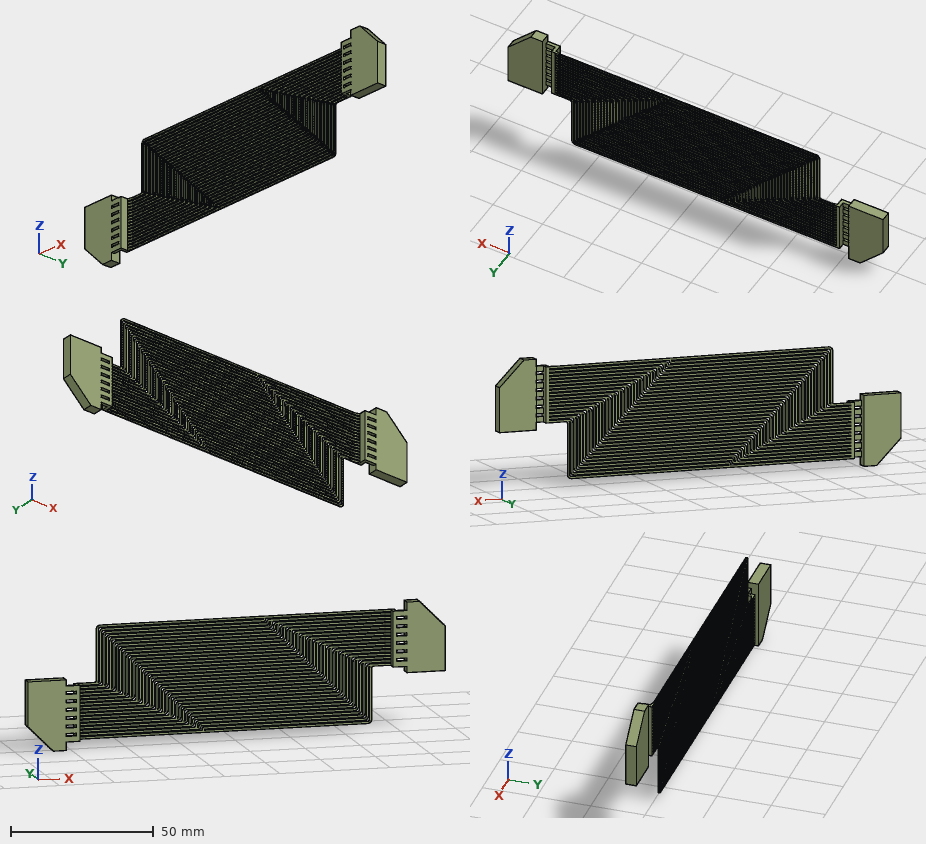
import cadquery as cq

length = 151.5
depth = 4.0
height = 46.5

block_length = 14.0
block_height = 25.3
block_corner_cut = 9.2

arm_length = 3.6
bracket_thickness = 1.4
slot_count = 6

ribbon_height = 40.5
ribbon_half_width = 50.0
ribbon_thickness = 0.5
track_width = 0.8
tracks_per_lead = 2
lead_count = 17
bend_radius = 0.7
tight_bend_radius = 0.2

taper_length = 2.0
taper_root_thickness = 1.0

track_count = tracks_per_lead * lead_count
pitch = (ribbon_height - track_width) / (track_count - 1)
back = depth / 2
front = -depth / 2
lead_bottom = -ribbon_height / 2
lead_height = (lead_count - 1) * pitch + track_width
lead_top = lead_bottom + lead_height
block_left = -length / 2
block_right = block_left + block_length
riser_left = block_right + arm_length
riser_right = riser_left + bracket_thickness


def make_block():
    """Left block, a plate with its outer lower corner cut off."""
    bottom = -height / 2
    top = bottom + block_height
    outline = [
        (block_left, top),
        (block_right, top),
        (block_right, bottom),
        (block_left + block_corner_cut, bottom),
        (block_left, bottom + block_corner_cut),
    ]
    return cq.Workplane("XZ", origin=(0, back, 0)).polyline(outline).close().extrude(depth)


def make_bracket():
    """L-shaped bracket: an arm along the front cut into fingers, then a riser to the back."""
    arm_back = front + bracket_thickness
    profile = [
        (block_right, front),
        (riser_right, front),
        (riser_right, back),
        (riser_left, back),
        (riser_left, arm_back),
        (block_right, arm_back),
    ]
    bracket = cq.Workplane("XY", origin=(0, 0, lead_bottom)).polyline(profile).close().extrude(lead_height)

    slot_height = lead_height / (3 * slot_count + 2)
    for slot in range(slot_count):
        slot_bottom = lead_bottom + (3 * slot + 2) * slot_height
        cutter = cq.Workplane("XY").box(arm_length, bracket_thickness, slot_height, centered=False)
        bracket = bracket.cut(cutter.translate((block_right, front, slot_bottom)))
    return bracket


def make_taper(lead):
    """Wedge under the root of one lead, flush with the back of the ribbon."""
    profile = [
        (riser_right, back),
        (riser_right, back - taper_root_thickness),
        (riser_right + taper_length, back - ribbon_thickness),
        (riser_right + taper_length, back),
    ]
    lead_lower_edge = lead_top - track_width - lead * pitch
    return cq.Workplane("XY", origin=(0, 0, lead_lower_edge)).polyline(profile).close().extrude(track_width)


def make_half_track(track):
    """Left half of one track: along its lead, up, then right to the middle of the ribbon."""
    lead_z = lead_top - (track // tracks_per_lead) * pitch
    middle_z = ribbon_height / 2 - track * pitch
    left = track * pitch - ribbon_half_width
    right = left + track_width

    rise = middle_z - lead_z
    has_room = rise > 2 * bend_radius + track_width
    inner_bend_radius = bend_radius if has_room else tight_bend_radius
    outer_bend_radius = inner_bend_radius + track_width

    plane = cq.Workplane("XZ", origin=(0, back, 0)).moveTo(riser_right, lead_z)
    is_straight = track == track_count - 1
    if is_straight:
        outline = plane.lineTo(0, lead_z).lineTo(0, lead_z - track_width)
    else:
        outline = (
            plane.lineTo(left - inner_bend_radius, lead_z)
            .radiusArc((left, lead_z + inner_bend_radius), -inner_bend_radius)
            .lineTo(left, middle_z - outer_bend_radius)
            .radiusArc((left + outer_bend_radius, middle_z), outer_bend_radius)
            .lineTo(0, middle_z)
            .lineTo(0, middle_z - track_width)
            .lineTo(right + inner_bend_radius, middle_z - track_width)
            .radiusArc((right, middle_z - track_width - inner_bend_radius), -inner_bend_radius)
            .lineTo(right, lead_z - track_width + outer_bend_radius)
            .radiusArc((right - outer_bend_radius, lead_z - track_width), outer_bend_radius)
        )
    return outline.lineTo(riser_right, lead_z - track_width).close().extrude(ribbon_thickness)


half = make_block().union(make_bracket())
pieces = [make_taper(lead).val() for lead in range(lead_count)]
pieces += [make_half_track(track).val() for track in range(track_count)]
half = cq.Workplane(half.val().fuse(*pieces))
other_half = half.rotate((0, 0, 0), (0, 1, 0), 180)
result = half.union(other_half).clean()